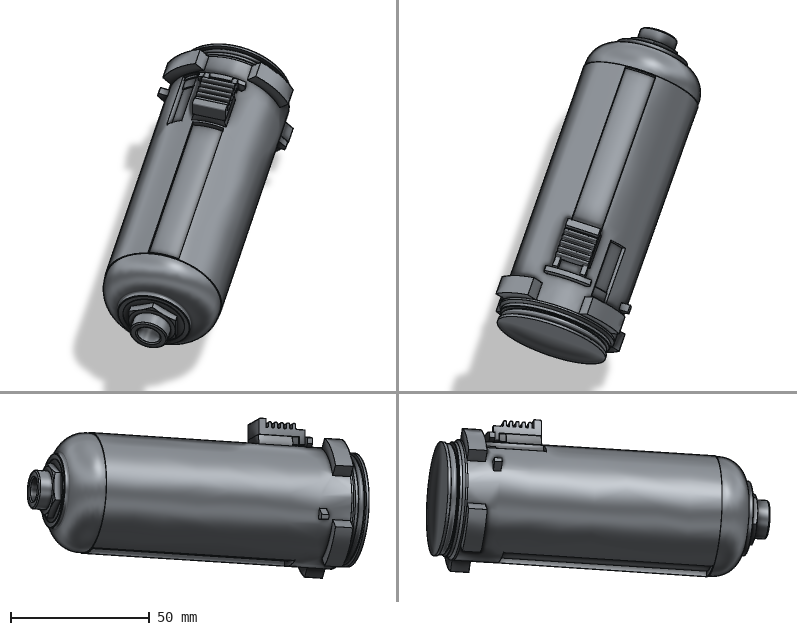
import cadquery as cq
import math

TOTAL_LENGTH = 121.0

GUARD_TOP_R = 43.5 / 2
GUARD_RIM_R = 43.8 / 2
GUARD_TOP_Y = 114.0
RIM_Y = 20.6
DOME_R = 43.4 / 2
DOME_FILLET = 9.7
DOME_FLOOR_Y = 9.2
COLLAR_R = 27.0 / 2
COLLAR_END_Y = 7.4
COLLAR_COVE = 0.7
COLLAR_CHAMFER = 0.2
WALL = 1.8

LUG_R = 26.0
LUG_WIDTH = 17.2
LUG_END_Y = 107.2
LUG_ANGLES = (45, 135, 225, 315)
PIN_START_Y = 101.8
PIN_LENGTH = 2.8
PIN_REACH = 48.0 / 2
PIN_TOP_Z = 8.7
PIN_TIP_Z = 7.1
PIN_TIP_SLANT = 0.5
PIN_TOP_FALL = 0.5

WINDOW_WIDTH = 11.5
WINDOW_END_Y = 20.9
TOP_WINDOW_START_Y = 83.0
BOTTOM_WINDOW_START_Y = 97.8
POCKET_LOW_ANGLE = 136.0
POCKET_INNER_X = -10.0
POCKET_END_Y = 83.9
POCKET_START_Y = 106.7

SEAT_TOP_Z = 24.5
SEAT_FRONT_Y = 96.8
SEAT_TOP_HALF = 5.7
SEAT_FOOT_HALF = 6.7
LATCH_END_Y = 83.9
LATCH_HALF = 6.2
LATCH_FRONT_Y = 101.5
LATCH_STEP_Z = 27.1
LATCH_FOOT_Z = 21.7
LEG_BACK_Y = 99.3
STOP_START_Y = 86.6
STOP_TOP_Z = 30.4
STOP_ROUND = 0.7
TOOTH_COUNT = 5
TOOTH_PITCH = 2.3
TOOTH_R = 0.6
TOOTH_FLARE = 0.5
TOOTH_TOP_Z = 29.3
FIRST_TOOTH_Y = 97.3
NOTCH_HALF = 4.2
NOTCH_BACK_Y = FIRST_TOOTH_Y + TOOTH_R
RAIL_WIDTH = 1.0
BAR_END_Y = 103.5
BAR_HALF = 8.7
BAR_TOP_R = 25.3
BAR_BEVEL = 1.5
BAR_BOTTOM_Z = LATCH_FOOT_Z - BAR_BEVEL

SHOULDER_Y = 114.7
CONE_TOP_Y = 115.7
NECK_R = 41.7 / 2
NECK_TOP_Y = 117.0
NECK_CHAMFER = 0.2
GROOVE_R = 19.1
BEAD_R = 20.2
BEAD_START_Y = 117.4
BEAD_END_Y = 119.5
FLANGE_R = 41.3 / 2
FLANGE_Y = 119.9

SPIGOT_R = 23.0 / 2
SPIGOT_END_Y = 7.6
HEX_FLATS = 17.4
HEX_END_Y = 5.0
HEX_CHAMFER_RISE = 0.5
NOZZLE_R = 14.0 / 2
NOZZLE_CHAMFER = 0.5
BORE_R = 8.6 / 2
BORE_DEPTH = 7.3
BORE_CHAMFER = 0.5

PAD_END_Y = 101.6
PAD_HEIGHT = 0.5
PAD_STEP_END_Y = 105.5
PAD_STEP_HEIGHT = 1.0

BOWL_R = DOME_R - WALL
FAR = 36.3


def y_extrude(sketch_points, y_start, y_end):
    """Prism with an outline of (x, z) points, running from y_start to y_end."""
    plane = cq.Plane(origin=(0, y_start, 0), xDir=(1, 0, 0), normal=(0, -1, 0))
    return cq.Workplane(plane).polyline(sketch_points).close().extrude(y_start - y_end)


def y_cylinder(radius, y_start, y_end):
    plane = cq.Plane(origin=(0, y_start, 0), xDir=(1, 0, 0), normal=(0, -1, 0))
    return cq.Workplane(plane).circle(radius).extrude(y_start - y_end)


def block(x_range, y_range, z_range):
    size = [high - low for low, high in (x_range, y_range, z_range)]
    corner = (x_range[0], y_range[0], z_range[0])
    return cq.Workplane("XY").box(*size, centered=False).translate(corner)


def revolve_about_y(profile):
    """Solid of revolution of a closed (radius, y) profile."""
    return profile.close().revolve(360, (0, 0, 0), (0, 1, 0))


def pocket_sector(radius, y_start, y_end):
    """Cylinder part between the two walls of the side pocket."""
    low = math.radians(POCKET_LOW_ANGLE)
    reach = 2 * FAR
    corners = [
        (POCKET_INNER_X, POCKET_INNER_X * math.tan(low)),
        (reach * math.cos(low), reach * math.sin(low)),
        (POCKET_INNER_X, reach),
    ]
    return y_extrude(corners, y_start, y_end).intersect(y_cylinder(radius, y_start, y_end))



def bowl_core():
    """Tube body, neck with sealing bead, and the spigot that passes through the guard."""
    corner_r = DOME_FILLET - WALL
    floor_y = DOME_FLOOR_Y + WALL
    corner_mid = corner_r * math.sqrt(0.5)
    bead_mid_y = (BEAD_START_Y + BEAD_END_Y) / 2
    profile = (
        cq.Workplane("XY")
        .moveTo(0, SPIGOT_END_Y)
        .lineTo(SPIGOT_R, SPIGOT_END_Y)
        .lineTo(SPIGOT_R, floor_y)
        .lineTo(BOWL_R - corner_r, floor_y)
        .threePointArc(
            (BOWL_R - corner_r + corner_mid, floor_y + corner_r - corner_mid),
            (BOWL_R, floor_y + corner_r),
        )
        .lineTo(BOWL_R, GUARD_TOP_Y)
        .lineTo(GUARD_TOP_R, GUARD_TOP_Y)
        .lineTo(GUARD_TOP_R, SHOULDER_Y)
        .lineTo(NECK_R, CONE_TOP_Y)
        .lineTo(NECK_R, NECK_TOP_Y - NECK_CHAMFER)
        .lineTo(NECK_R - NECK_CHAMFER, NECK_TOP_Y)
        .lineTo(GROOVE_R, NECK_TOP_Y)
        .lineTo(GROOVE_R, BEAD_START_Y)
        .threePointArc((BEAD_R, bead_mid_y), (GROOVE_R, BEAD_END_Y))
        .lineTo(GROOVE_R, FLANGE_Y)
        .lineTo(FLANGE_R, FLANGE_Y)
        .lineTo(FLANGE_R, TOTAL_LENGTH)
        .lineTo(0, TOTAL_LENGTH)
    )
    return revolve_about_y(profile)


def drain_hex():
    """Hexagon with flats facing +X and -X; its corners are bevelled by a cone."""
    corner_r = HEX_FLATS / math.sqrt(3)
    corners = []
    for step in range(6):
        angle = math.radians(30 + 60 * step)
        corners.append((corner_r * math.cos(angle), corner_r * math.sin(angle)))
    prism = y_extrude(corners, HEX_END_Y, SPIGOT_END_Y)
    envelope = revolve_about_y(
        cq.Workplane("XY")
        .moveTo(0, HEX_END_Y)
        .lineTo(HEX_FLATS / 2, HEX_END_Y)
        .lineTo(corner_r, HEX_END_Y + HEX_CHAMFER_RISE)
        .lineTo(corner_r, SPIGOT_END_Y)
        .lineTo(0, SPIGOT_END_Y)
    )
    return prism.intersect(envelope)


def make_bowl():
    nozzle = y_cylinder(NOZZLE_R, 0, HEX_END_Y).faces("<Y").chamfer(NOZZLE_CHAMFER)
    bore = y_cylinder(BORE_R, 0, BORE_DEPTH)
    bore_mouth = revolve_about_y(
        cq.Workplane("XY")
        .lineTo(BORE_R + BORE_CHAMFER, 0)
        .lineTo(BORE_R, BORE_CHAMFER)
        .lineTo(0, BORE_CHAMFER)
    )
    pad = pocket_sector(BOWL_R + PAD_HEIGHT, PAD_END_Y, POCKET_START_Y)
    pad_step = pocket_sector(BOWL_R + PAD_STEP_HEIGHT, PAD_STEP_END_Y, POCKET_START_Y)
    body = bowl_core().union(drain_hex()).union(nozzle).union(pad).union(pad_step)
    return body.cut(bore).cut(bore_mouth)



def guard_shell():
    """Tapered sleeve, dome and drain collar, all solid before the bowl space is removed."""
    fillet_mid = DOME_FILLET * math.sqrt(0.5)
    fillet_r = DOME_R - DOME_FILLET
    fillet_y = DOME_FLOOR_Y + DOME_FILLET
    dome_rim_r = fillet_r + math.sqrt(DOME_FILLET**2 - (RIM_Y - fillet_y) ** 2)
    cove_mid = COLLAR_COVE * (1 - math.sqrt(0.5))
    profile = (
        cq.Workplane("XY")
        .moveTo(0, COLLAR_END_Y)
        .lineTo(COLLAR_R - COLLAR_CHAMFER, COLLAR_END_Y)
        .lineTo(COLLAR_R, COLLAR_END_Y + COLLAR_CHAMFER)
        .lineTo(COLLAR_R, DOME_FLOOR_Y - COLLAR_COVE)
        .threePointArc(
            (COLLAR_R + cove_mid, DOME_FLOOR_Y - cove_mid),
            (COLLAR_R + COLLAR_COVE, DOME_FLOOR_Y),
        )
        .threePointArc((fillet_r + fillet_mid, fillet_y - fillet_mid), (dome_rim_r, RIM_Y))
        .lineTo(GUARD_RIM_R, RIM_Y)
        .lineTo(GUARD_TOP_R, GUARD_TOP_Y)
        .lineTo(0, GUARD_TOP_Y)
    )
    return revolve_about_y(profile)


def lug(angle):
    half = LUG_WIDTH / 2
    bar = block((0, FAR), (LUG_END_Y, GUARD_TOP_Y), (-half, half))
    bar = bar.rotate((0, 0, 0), (0, 1, 0), -angle)
    return bar.intersect(y_cylinder(LUG_R, LUG_END_Y, GUARD_TOP_Y))


def pin(turn):
    """Small wedge with a nearly flat top and a 45 degree underside."""
    outline = [
        (-PIN_REACH, PIN_TIP_Z),
        (-PIN_REACH + PIN_TIP_SLANT, PIN_TOP_Z),
        (-BOWL_R, PIN_TOP_Z - PIN_TOP_FALL),
        (-BOWL_R, PIN_TIP_Z - PIN_REACH + BOWL_R),
    ]
    wedge = y_extrude(outline, PIN_START_Y, PIN_START_Y + PIN_LENGTH)
    return wedge.rotate((0, 0, 0), (0, 1, 0), turn)


def latch_seat():
    outline = [
        (-SEAT_FOOT_HALF, BOWL_R),
        (SEAT_FOOT_HALF, BOWL_R),
        (SEAT_TOP_HALF, SEAT_TOP_Z),
        (-SEAT_TOP_HALF, SEAT_TOP_Z),
    ]
    return y_extrude(outline, LATCH_END_Y, SEAT_FRONT_Y)


def make_guard():
    body = guard_shell()
    for angle in LUG_ANGLES:
        body = body.union(lug(angle))
    for turn in (0, 180):
        body = body.union(pin(turn))
    body = body.union(latch_seat())

    half = WINDOW_WIDTH / 2
    top_window = block((-half, half), (WINDOW_END_Y, TOP_WINDOW_START_Y), (0, FAR))
    bottom_window = block((-half, half), (WINDOW_END_Y, BOTTOM_WINDOW_START_Y), (-FAR, 0))
    pocket = pocket_sector(FAR, POCKET_END_Y, POCKET_START_Y)
    drain_opening = y_cylinder(SPIGOT_R, COLLAR_END_Y, SPIGOT_END_Y)
    body = body.cut(bowl_core()).cut(drain_opening)
    return body.cut(top_window).cut(bottom_window).cut(pocket)



def latch_block():
    """Body with an end stop, a low front step and legs reaching down to the sleeve."""
    profile = [
        (LATCH_END_Y, SEAT_TOP_Z),
        (LEG_BACK_Y, SEAT_TOP_Z),
        (LEG_BACK_Y, LATCH_FOOT_Z),
        (LATCH_FRONT_Y, LATCH_FOOT_Z),
        (LATCH_FRONT_Y, LATCH_STEP_Z),
        (STOP_START_Y, LATCH_STEP_Z),
        (STOP_START_Y, STOP_TOP_Z),
        (LATCH_END_Y, STOP_TOP_Z),
    ]
    body = cq.Workplane("YZ").polyline(profile).close().extrude(LATCH_HALF, both=True)
    return body.edges("|X").edges("<Y").edges(">Z").fillet(STOP_ROUND)


def tooth(y):
    """Grip tooth with a half-round crest and flared feet."""
    crest_z = TOOTH_TOP_Z - TOOTH_R
    foot_top_z = LATCH_STEP_Z + TOOTH_FLARE
    foot_half = TOOTH_R + TOOTH_FLARE
    flare_mid = TOOTH_FLARE * (1 - math.sqrt(0.5))
    flare_mid_point = (TOOTH_R + flare_mid, LATCH_STEP_Z + flare_mid)
    return (
        cq.Workplane("YZ")
        .moveTo(y - foot_half, LATCH_STEP_Z)
        .threePointArc((y - flare_mid_point[0], flare_mid_point[1]), (y - TOOTH_R, foot_top_z))
        .lineTo(y - TOOTH_R, crest_z)
        .threePointArc((y, TOOTH_TOP_Z), (y + TOOTH_R, crest_z))
        .lineTo(y + TOOTH_R, foot_top_z)
        .threePointArc((y + flare_mid_point[0], flare_mid_point[1]), (y + foot_half, LATCH_STEP_Z))
        .close()
        .extrude(LATCH_HALF, both=True)
    )


def latch_bar():
    """Cross bar at the front, with a top concentric to the sleeve and bevelled lower corners."""
    outline = [
        (-BAR_HALF + BAR_BEVEL, BAR_BOTTOM_Z),
        (BAR_HALF - BAR_BEVEL, BAR_BOTTOM_Z),
        (BAR_HALF, LATCH_FOOT_Z),
        (BAR_HALF, FAR),
        (-BAR_HALF, FAR),
        (-BAR_HALF, LATCH_FOOT_Z),
    ]
    bar = y_extrude(outline, LATCH_FRONT_Y, BAR_END_Y)
    return bar.intersect(y_cylinder(BAR_TOP_R, LATCH_FRONT_Y, BAR_END_Y))


def make_latch():
    body = latch_block()
    for index in range(TOOTH_COUNT):
        body = body.union(tooth(FIRST_TOOTH_Y - index * TOOTH_PITCH))
    notch = block((-NOTCH_HALF, NOTCH_HALF), (NOTCH_BACK_Y, LATCH_FRONT_Y), (0, FAR))
    body = body.cut(notch).union(latch_bar())
    for rail_x in (-NOTCH_HALF - RAIL_WIDTH, NOTCH_HALF):
        rail = block(
            (rail_x, rail_x + RAIL_WIDTH),
            (SEAT_FRONT_Y, LATCH_FRONT_Y),
            (LATCH_FOOT_Z, LATCH_STEP_Z),
        )
        body = body.union(rail)
    return body.cut(guard_shell())


bowl = make_bowl()
guard = make_guard()
latch = make_latch()

result = cq.Compound.makeCompound([guard.val(), bowl.val(), latch.val()])